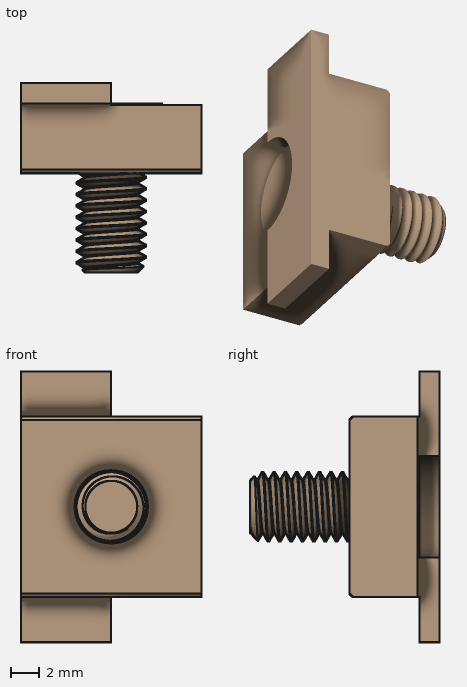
import cadquery as cq
import math

plate_height = 19.05
block_size = plate_height * 2 / 3
plate_width = block_size / 2
overall_depth = 13.34
body_depth = block_size / 2
plate_thickness = 1.43
rear_step = 1.55
front_chamfer = 0.25

screw_reach = overall_depth - body_depth
thread_diameter = 4.88
core_diameter = 3.77
thread_pitch = 0.8
crest_width = 0.08
flank_angle = 30.0
crest_offset = 0.29
tip_diameter = 3.65
ridge_root_overlap = 0.04
core_seam_angle = 45.0
tip_seam_angle = 100.0
head_diameter = 7.16
head_height = 2.85
head_stand_out = rear_step - plate_thickness
head_chamfer = 0.05
hole_diameter = 5.15

head_back = body_depth - rear_step + head_stand_out
head_seat = head_back - head_height


def cylinder_along_y(diameter, y_start, y_end):
    """Solid cylinder about the Y axis between two Y positions."""
    profile = cq.Workplane("XZ", origin=(0, y_end, 0)).circle(diameter / 2)
    return profile.extrude(y_end - y_start)


def make_block():
    """Square block, rear plate and the counterbored screw hole."""
    block_depth = body_depth - rear_step
    block = cq.Workplane("XY").box(block_size, block_depth, block_size, centered=(True, False, True))
    block = block.faces("<Y").edges("|X").chamfer(front_chamfer)

    corner = (-block_size / 2, block_depth, 0)
    centering = (False, False, True)
    backing_depth = rear_step - plate_thickness
    backing = cq.Workplane("XY", origin=corner).box(
        plate_width, backing_depth, block_size, centered=centering
    )
    plate_corner = (-block_size / 2, body_depth - plate_thickness, 0)
    plate = cq.Workplane("XY", origin=plate_corner).box(
        plate_width, plate_thickness, plate_height, centered=centering
    )

    hole = cylinder_along_y(hole_diameter, 0, body_depth)
    counterbore = cylinder_along_y(head_diameter, head_seat, body_depth)
    return block.union(backing).union(plate).cut(hole).cut(counterbore)


def make_thread_ridge():
    """Right-handed helical ridge about Z, long enough to run past the tip."""
    core_radius = core_diameter / 2
    crest_radius = thread_diameter / 2
    root_radius = core_radius - ridge_root_overlap
    half_crest = crest_width / 2
    half_root = half_crest + (crest_radius - root_radius) * math.tan(math.radians(flank_angle))

    turns_behind = math.ceil((head_seat + crest_offset) / thread_pitch)
    start = crest_offset - turns_behind * thread_pitch
    turns = math.ceil((screw_reach - start) / thread_pitch)
    length = turns * thread_pitch

    corners = [
        (root_radius, -half_root),
        (crest_radius, -half_crest),
        (crest_radius, half_crest),
        (root_radius, half_root),
    ]
    helices = [
        cq.Wire.makeHelix(thread_pitch, length, radius, center=cq.Vector(0, 0, start + offset))
        for radius, offset in corners
    ]
    faces = [cq.Face.makeRuledSurface(helices[i - 1], helices[i]) for i in range(len(helices))]
    for end in (start, start + length):
        points = [cq.Vector(radius, 0, end + offset) for radius, offset in corners]
        faces.append(cq.Face.makeFromWires(cq.Wire.makePolygon(points, close=True)))
    shell_faces = [face for item in faces for face in item.Faces()]
    return cq.Workplane(cq.Solid.makeSolid(cq.Shell.makeShell(shell_faces)))


def make_tip_cutter():
    """Revolved body that trims the thread flat at the tip and bevels its end at 45 degrees."""
    tip_radius = tip_diameter / 2
    reach = thread_diameter / 2
    profile = cq.Workplane("XZ").polyline([
        (0, screw_reach),
        (tip_radius, screw_reach),
        (tip_radius + reach, screw_reach - reach),
        (tip_radius + reach, screw_reach + reach),
        (0, screw_reach + reach),
    ]).close()
    return profile.revolve(360, (0, 0, 0), (0, 1, 0)).rotate((0, 0, 0), (0, 0, 1), tip_seam_angle)


def make_screw():
    """Headed screw, built pointing along +Z and then turned to point along -Y."""
    core = cq.Workplane("XY", origin=(0, 0, -head_back)).circle(core_diameter / 2)
    core = core.extrude(head_back + screw_reach).rotate((0, 0, 0), (0, 0, 1), core_seam_angle)
    shank = core.union(make_thread_ridge()).cut(make_tip_cutter())

    head = cq.Workplane("XY", origin=(0, 0, -head_back)).circle(head_diameter / 2)
    head = head.extrude(head_height).faces("<Z").chamfer(head_chamfer)
    return head.union(shank).rotate((0, 0, 0), (1, 0, 0), 90)


block = make_block()
screw = make_screw()
result = cq.Compound.makeCompound([block.solids().val(), screw.solids().val()])